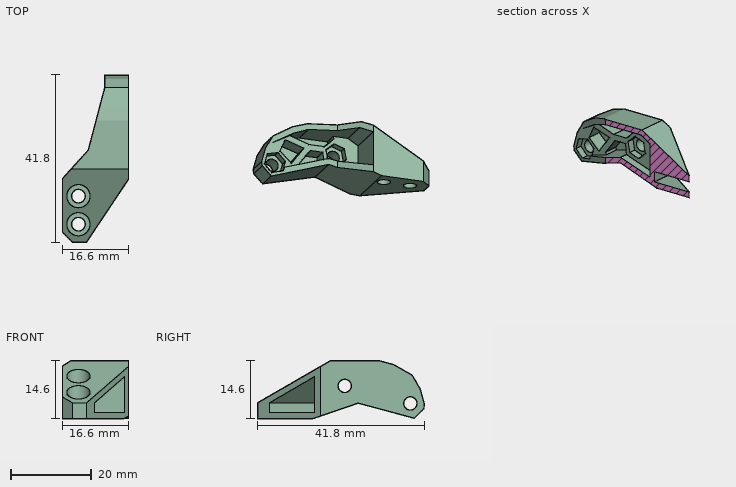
import cadquery as cq

LENGTH = 41.75
WIDTH = 16.55
HEIGHT = 14.6

TIP_X = 10.55
TIP_START_Y = 38.65
BLOCK_END_Y = 15.9
NOSE_CHAMFER = 2.5

RIM = 1.55
POCKET_REACH = 0.4
LIGHTENING_DEPTH = 4.17

TIP_HOLE = (38.2, 3.9)
INNER_HOLE = (21.8, 8.25)
TIP_NUT_ANGLE = -14.0
INNER_NUT_ANGLE = 19.0
ARM_HOLE_DIAMETER = 3.25
NUT_DIAMETER = 5.8
NUT_DEPTH = 2.0

MOUNT_X = 4.0
MOUNT_YS = (4.5, 11.5)
MOUNT_DIAMETER = 3.35
HEAD_DIAMETER = 5.8
HEAD_SEAT_Z = 3.0

FRONT_POCKET_LEFT = 8.05
FRONT_POCKET_RIGHT = 15.52
FRONT_POCKET_BOTTOM = 1.63
FRONT_POCKET_LOW_TOP = 4.05
FRONT_POCKET_HIGH_TOP = 10.55
FRONT_POCKET_FLOOR_Y = 14.27


def side_prism(points, start_x, depth):
    """Extrude a (Y, Z) polygon along +X."""
    return cq.Workplane("YZ", origin=(start_x, 0, 0)).polyline(points).close().extrude(depth)


def body():
    """Intersection of the plan outline and the side outline."""
    plan = [
        (0, NOSE_CHAMFER),
        (NOSE_CHAMFER, 0),
        (6.05, 0),
        (WIDTH, 15.77),
        (WIDTH, LENGTH),
        (TIP_X, LENGTH),
        (TIP_X, TIP_START_Y),
        (6.43, 23.0),
        (0, BLOCK_END_Y),
    ]
    side = [
        (0, 0),
        (0, 4.05),
        (18.28, HEIGHT),
        (30.3, HEIGHT),
        (34.0, 13.6),
        (TIP_START_Y, 10.97),
        (40.7, 7.45),
        (LENGTH, 3.65),
        (41.55, 2.55),
        (39.15, 0.15),
        (25.12, 3.92),
        (13.7, 0),
    ]
    plan_solid = cq.Workplane("XY").polyline(plan).close().extrude(HEIGHT)
    return plan_solid.intersect(side_prism(side, 0, WIDTH))


ROOF_Z = HEIGHT - RIM
ROOF_BEND = (30.1, ROOF_Z)
ROOF_SHOULDER = (33.8, 11.85)
FLOOR_PEAK = (25.05, 5.55)
FLOOR_TIP = (TIP_START_Y, 1.95)
LOWER_POCKET_END = 31.42


def rim_floor_z(y):
    """Height of the straight rim edge between its peak and the tip."""
    slope = (FLOOR_TIP[1] - FLOOR_PEAK[1]) / (FLOOR_TIP[0] - FLOOR_PEAK[0])
    return FLOOR_PEAK[1] + slope * (y - FLOOR_PEAK[0])


def side_pocket():
    """Open pocket in the left side, down to the level of the tip face."""
    outline = [
        (BLOCK_END_Y, 11.45),
        (18.6, ROOF_Z),
        ROOF_BEND,
        ROOF_SHOULDER,
        (TIP_START_Y, 9.22),
        (TIP_START_Y + POCKET_REACH, 9.22),
        (TIP_START_Y + POCKET_REACH, FLOOR_TIP[1]),
        FLOOR_TIP,
        FLOOR_PEAK,
        (BLOCK_END_Y, 2.6),
    ]
    return side_prism(outline, 0, TIP_X)


def lightening_pockets():
    """Three blind pockets in the side pocket floor, leaving ribs between them."""
    upper = [
        ROOF_BEND,
        ROOF_SHOULDER,
        (33.75, 11.5),
        (29.05, 9.97),
        (25.05, 9.97),
        (22.35, 12.45),
        (22.55, ROOF_Z),
    ]
    middle = [
        (35.4, 10.35),
        (30.4, 8.8),
        (33.75, 4.3),
        (36.85, 7.18),
    ]
    lower = [
        (LOWER_POCKET_END, rim_floor_z(LOWER_POCKET_END)),
        (31.65, 4.55),
        (28.63, 8.45),
        (25.35, 8.45),
        FLOOR_PEAK,
    ]
    return [side_prism(outline, TIP_X, LIGHTENING_DEPTH) for outline in (upper, middle, lower)]


def arm_hole(center, nut_angle):
    """Through hole along X with a hexagonal nut trap that also notches the rim."""
    hole_plane = cq.Workplane("YZ").center(*center)
    hole = hole_plane.circle(ARM_HOLE_DIAMETER / 2).extrude(WIDTH)
    trap = (
        cq.Workplane("YZ", origin=(0, *center))
        .transformed(rotate=(0, 0, nut_angle))
        .polygon(6, NUT_DIAMETER)
        .extrude(TIP_X + NUT_DEPTH)
    )
    return hole.union(trap)


def mounting_hole(y):
    """Vertical through hole with a flat seat for the screw head."""
    hole = cq.Workplane("XY").center(MOUNT_X, y).circle(MOUNT_DIAMETER / 2).extrude(HEIGHT)
    head = (
        cq.Workplane("XY", origin=(MOUNT_X, y, HEAD_SEAT_Z))
        .circle(HEAD_DIAMETER / 2)
        .extrude(HEIGHT)
    )
    return hole.union(head)


def front_pocket():
    """Recess cut along Y into the diagonal face, with a flat back wall."""
    outline = [
        (FRONT_POCKET_LEFT, FRONT_POCKET_BOTTOM),
        (FRONT_POCKET_RIGHT, FRONT_POCKET_BOTTOM),
        (FRONT_POCKET_RIGHT, FRONT_POCKET_HIGH_TOP),
        (FRONT_POCKET_LEFT, FRONT_POCKET_LOW_TOP),
    ]
    back_wall = cq.Workplane("XZ", origin=(0, FRONT_POCKET_FLOOR_Y, 0))
    return back_wall.polyline(outline).close().extrude(FRONT_POCKET_FLOOR_Y)


result = body().cut(side_pocket())
for pocket in lightening_pockets():
    result = result.cut(pocket)
result = result.cut(arm_hole(TIP_HOLE, TIP_NUT_ANGLE))
result = result.cut(arm_hole(INNER_HOLE, INNER_NUT_ANGLE))
for mount_y in MOUNT_YS:
    result = result.cut(mounting_hole(mount_y))
result = result.cut(front_pocket())